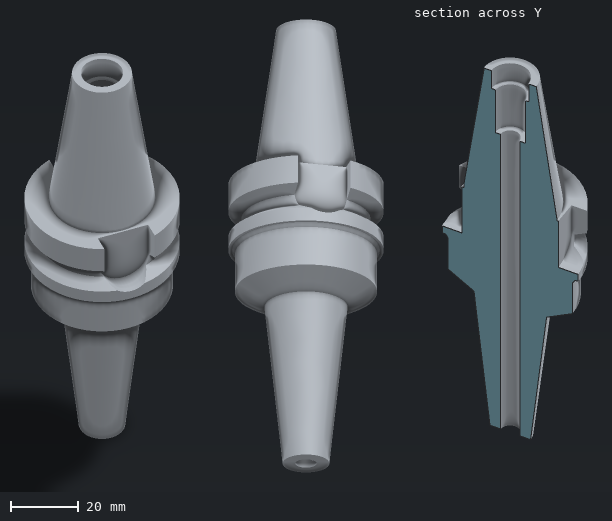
import cadquery as cq

total_height = 138.4
gauge_height = 90.0
flange_top = 89.1
upper_flange_bottom = 80.4
groove_top = 78.2
groove_bottom = 74.9
lower_flange_top = 72.4
lower_flange_bottom = 68.2
body_top = 67.0
body_bottom = 55.0
nose_top = 50.0

shank_tip_radius = 8.9
gauge_radius = 15.8
flange_radius = 23.0
groove_radius = 19.1
neck_radius = 21.9
body_radius = 21.0
nose_base_radius = 12.3
nose_tip_radius = 6.9

mouth_radius = 6.2
mouth_depth = 6.9
collar_radius = 5.3
lower_bore_radius = 5.0
bore_depth = 23.5
through_radius = 3.2

slot_width = 16.0
slot_floor_distance = 16.3
slot_end_height = 71.1


def turned_body():
    """Taper shank, grooved flange, cylindrical body and tapered nose."""
    outline = [
        (0, 0),
        (nose_tip_radius, 0),
        (nose_base_radius, nose_top),
        (body_radius, body_bottom),
        (body_radius, body_top),
        (neck_radius, lower_flange_bottom),
        (flange_radius, lower_flange_bottom),
        (flange_radius, lower_flange_top),
        (groove_radius, groove_bottom),
        (groove_radius, groove_top),
        (flange_radius, upper_flange_bottom),
        (flange_radius, flange_top),
        (gauge_radius, flange_top),
        (gauge_radius, gauge_height),
        (shank_tip_radius, total_height),
        (0, total_height),
    ]
    return cq.Workplane("XZ").polyline(outline).close().revolve(360, (0, 0), (0, 1))


def stepped_bore():
    """Wide mouth, short tapered collar, narrower bore and a through hole."""
    mouth_floor = total_height - mouth_depth
    bore_floor = total_height - bore_depth
    collar_bottom = mouth_floor - (collar_radius - lower_bore_radius)
    outline = [
        (0, 0),
        (through_radius, 0),
        (through_radius, bore_floor),
        (lower_bore_radius, bore_floor),
        (lower_bore_radius, collar_bottom),
        (collar_radius, mouth_floor),
        (mouth_radius, mouth_floor),
        (mouth_radius, total_height),
        (0, total_height),
    ]
    return cq.Workplane("XZ").polyline(outline).close().revolve(360, (0, 0), (0, 1))


def drive_slot():
    """Round-ended slot on the +X side, open at the top of the flange."""
    half_width = slot_width / 2
    arc_centre = slot_end_height + half_width
    return (
        cq.Workplane("YZ", origin=(slot_floor_distance, 0, 0))
        .moveTo(-half_width, flange_top)
        .lineTo(-half_width, arc_centre)
        .threePointArc((0, slot_end_height), (half_width, arc_centre))
        .lineTo(half_width, flange_top)
        .close()
        .extrude(flange_radius)
    )


result = turned_body().cut(stepped_bore())
for angle in (0, 180):
    result = result.cut(drive_slot().rotate((0, 0, 0), (0, 0, 1), angle))